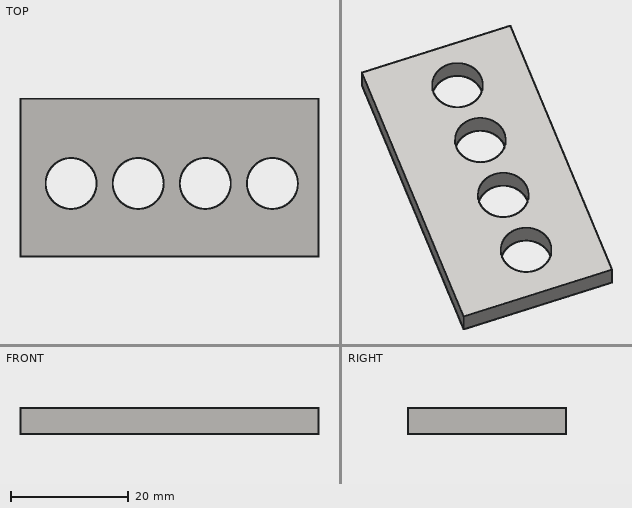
import cadquery as cq

plate_length = 50.8
plate_width = 26.92
plate_thickness = 4.5

hole_count = 4
hole_diameter = 8.64
hole_pitch = 11.43
first_hole_from_left = 8.64
hole_row_from_front = 12.45


def make_plate():
    """Rectangular plate with one corner at the origin."""
    return cq.Workplane("XY").box(plate_length, plate_width, plate_thickness, centered=False)


def drill_hole_row(plate):
    """Drill a straight row of equally spaced through holes along X."""
    hole_centers = [
        (first_hole_from_left + index * hole_pitch, hole_row_from_front)
        for index in range(hole_count)
    ]
    holes = (
        cq.Workplane("XY")
        .pushPoints(hole_centers)
        .circle(hole_diameter / 2)
        .extrude(plate_thickness)
    )
    return plate.cut(holes)


result = drill_hole_row(make_plate())